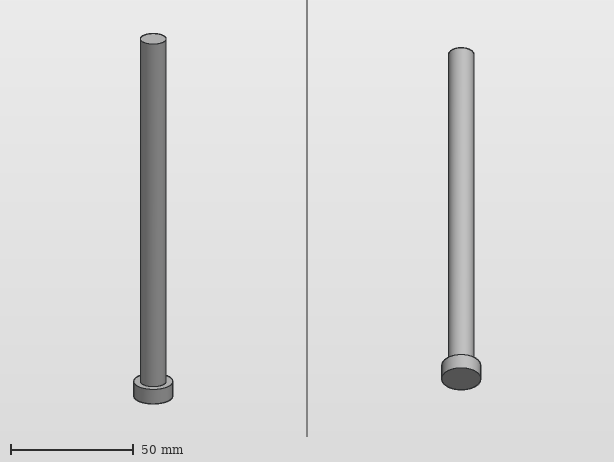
import cadquery as cq

total_length = 160.0
head_diameter = 16.0
head_height = 6.5
shank_diameter = 10.5

head = cq.Workplane("XY").circle(head_diameter / 2).extrude(head_height)
shank = cq.Workplane("XY").circle(shank_diameter / 2).extrude(total_length)

result = head.union(shank)